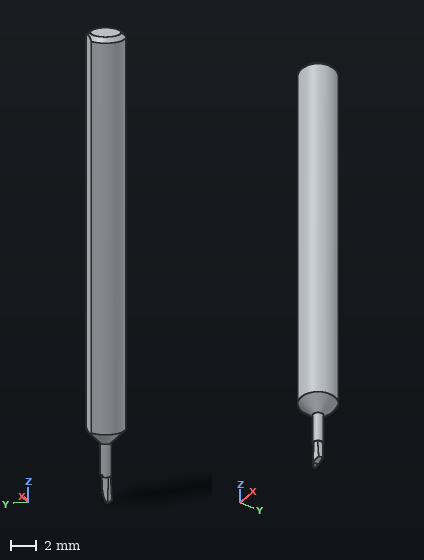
import cadquery as cq

total_length = 38.1
shank_radius = 3.15 / 2
depth_over_flat = 2.95
flat_offset = depth_over_flat - shank_radius
top_chamfer = 0.4

neck_radius = 0.88 / 2
cone_bottom = 4.8
cone_top = cone_bottom + shank_radius - neck_radius

relief_top = 2.3
head_top = 2.1
head_top_section = [(-0.42, -0.1), (0.05, -0.42), (0.35, -0.25), (0.4, 0.23)]
head_end_section = [(-0.55, 0.0), (0.05, -0.55), (0.55, -0.25), (0.57, 0.08)]
end_rise = 0.08
tip_x = -0.42
end_face_x = 0.05
slant_top_x = 0.57
slant_top_z = 0.55


def make_shank():
    bar = (
        cq.Workplane("XZ")
        .moveTo(0, cone_bottom)
        .lineTo(neck_radius, cone_bottom)
        .lineTo(shank_radius, cone_top)
        .lineTo(shank_radius, total_length - top_chamfer)
        .lineTo(shank_radius - top_chamfer, total_length)
        .lineTo(0, total_length)
        .close()
        .revolve(360, (0, 0, 0), (0, 1, 0))
    )
    flat_cutter = cq.Workplane("XY").box(
        2 * shank_radius, shank_radius, total_length, centered=(True, False, False)
    )
    return bar.cut(flat_cutter.translate((0, flat_offset, 0)))


def make_neck():
    """Round neck with a slanted relief leading down to the rake face."""
    neck = (
        cq.Workplane("XY")
        .workplane(offset=head_top)
        .circle(neck_radius)
        .extrude(cone_bottom - head_top)
    )
    rake_y = head_top_section[-1][1]
    relief_cutter = (
        cq.Workplane("YZ")
        .polyline([(rake_y, head_top), (neck_radius, head_top), (neck_radius, relief_top)])
        .close()
        .extrude(neck_radius, both=True)
    )
    return neck.cut(relief_cutter)


def make_head():
    """Flared half section, trimmed to a pointed end and a slanted corner."""
    body = (
        cq.Workplane("XY")
        .polyline(head_end_section)
        .close()
        .workplane(offset=head_top)
        .polyline(head_top_section)
        .close()
        .loft(ruled=True)
    )
    left_x = -slant_top_x
    end_outline = (
        cq.Workplane("XZ")
        .polyline([
            (left_x, head_top),
            (left_x, end_rise),
            (tip_x, 0),
            (end_face_x, end_rise),
            (slant_top_x, slant_top_z),
            (slant_top_x, head_top),
        ])
        .close()
        .extrude(shank_radius, both=True)
    )
    return body.intersect(end_outline)


result = make_shank().union(make_neck()).union(make_head())